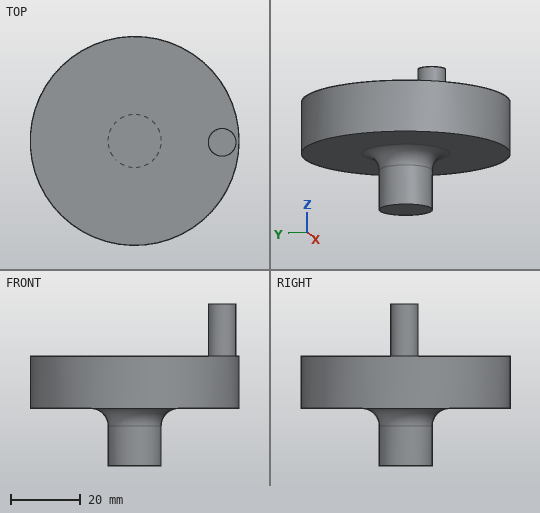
import cadquery as cq

disk_diameter = 60.0
disk_thickness = 15.0

stem_diameter = 15.25
stem_length = 16.5
blend_radius = 5.0

pin_diameter = 7.95
pin_height = 15.0
pin_x = 25.1
pin_y = -0.4


def make_disk():
    """Disk with its underside on Z = 0."""
    return cq.Workplane("XY").circle(disk_diameter / 2).extrude(disk_thickness)


def make_stem():
    """Stem hanging from Z = 0, with a concave quarter-round flare at the top.

    The profile runs into the disk by half its thickness, so the two overlap.
    """
    stem_radius = stem_diameter / 2
    flare_radius = stem_radius + blend_radius
    overlap = disk_thickness / 2
    return (
        cq.Workplane("XZ")
        .moveTo(0, -stem_length)
        .lineTo(stem_radius, -stem_length)
        .lineTo(stem_radius, -blend_radius)
        .radiusArc((flare_radius, 0), blend_radius)
        .lineTo(flare_radius, overlap)
        .lineTo(0, overlap)
        .close()
        .revolve(360, (0, 0, 0), (0, 1, 0))
    )


def make_pin():
    """Crank pin standing on the disk near its +X edge."""
    return (
        cq.Workplane("XY")
        .workplane(offset=disk_thickness)
        .center(pin_x, pin_y)
        .circle(pin_diameter / 2)
        .extrude(pin_height)
    )


result = make_disk().union(make_stem()).union(make_pin())